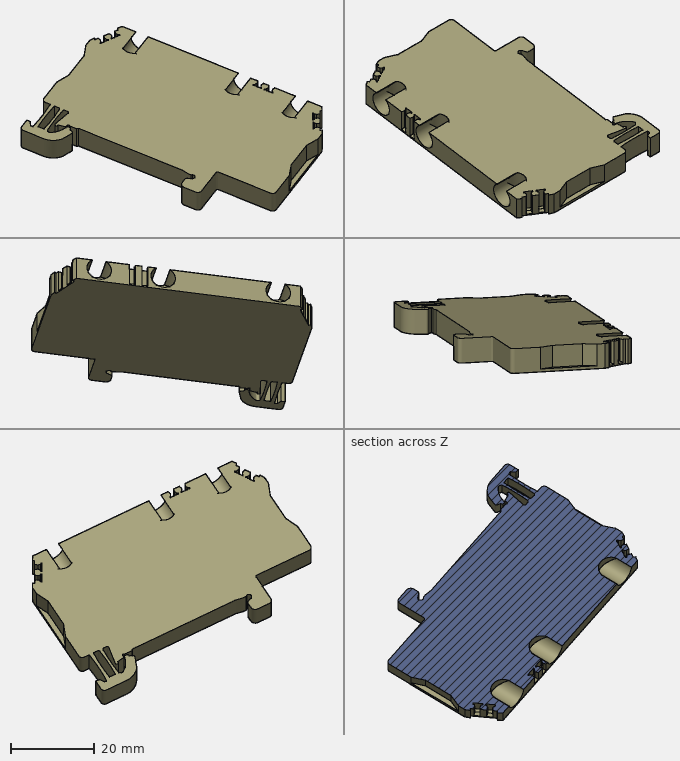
import cadquery as cq
import math


length = 64.25
width = 42.3
thickness = 6.1
housing_bottom = 10.85
housing_corner_radius = 1.0

slope_angle = 60.0
slope_top = (4.25, 40.8)
slope_length = 6.45
top_corner_x = 4.55
lip_tip = (3.85, 41.25)
tooth_tip = (0.6, 35.55)
shoulder_y = 34.3

floor_thickness = 0.75
end_pocket_depth = 1.35
end_pocket_mouth = (18.2, 32.4)
end_pocket_floor = (21.6, 29.15)

slot_mouth_half = 0.77
slot_waist_half = 0.58
slot_flare_half = 0.8
slot_foot_half = 1.15
slot_waist_depth = 0.83
slot_flare_depth = 1.35
slot_foot_depth = 1.55
slot_depth = 1.75
slot_mouth_floor = 0.4
slot_pitch = 3.1
first_top_slot_x = 42.8
first_slope_slot = 1.75

bore_xs = (10.0, 38.35, 54.1)
bore_radius = 3.0
bore_axis_z = 3.6
bore_depth = 6.95

rail_face_y = 7.15
rail_ledge_y = 6.8
left_ramp = (11.85, 12.25)
right_ramp = (40.8, 42.7)
foot_right = 48.4
foot_left = 42.95
foot_bottom = 2.3
foot_outer_radius = 1.0
foot_inner_radius = 1.25
foot_root_radius = 0.35
foot_tip_start = (foot_left, 4.8)
foot_tip_middle = (43.05, 5.15)
foot_tip_end = (43.4, 5.4)
groove_start = (44.5, 5.9)
groove_middle = (44.65, 6.7)
groove_end = (43.85, 7.05)
groove_lip_x = 43.5

relief_left = 9.35
relief_right = 9.9
relief_crown = (9.6, 7.0)
nose_right_corner = (relief_left, 6.1)
nose_right = (7.35, 5.75)
nose_tip = (6.95, 5.2)
nose_left = (6.6, 5.6)
nose_root_x = 7.6

clip_corner_radius = 0.95
sole_floor = 2.9
sole_right = 6.8
release_notch_floor = 2.3
release_lip_top = 3.5
release_lip_right = 1.0
release_notch_left = 1.7
hook_outer_middle = (9.15, 0.75)
hook_outer_end = (10.65, 2.25)
hook_shoulder_start = (11.65, 4.9)
hook_shoulder_middle = (11.65, 5.2)
hook_shoulder_end = (11.4, 5.45)
hook_step = (10.6, 5.85)
hook_tip_right = 10.45
hook_tip_left = 9.5
hook_tip_top = 6.4
hook_inner_start = (9.45, 6.0)
hook_inner_middle = (8.6, 4.1)
hook_inner_end = (7.1, 2.65)
hook_valley_middle = (6.75, 2.5)
hook_valley_end = (6.4, 2.65)

left_leg = (2.35, 3.5)
right_leg = (5.05, 6.05)
leg_waist_inset = 0.18
leg_overlap = 0.2
leg_root_radius = 0.4


def extrude(outline, bottom=0.0):
    """Extrude a closed XY outline from height `bottom` to the top face."""
    return outline.extrude(thickness - bottom).translate((0, 0, bottom))


def mirror_x(points):
    """Mirror points across the housing's centre line and reverse their order."""
    return [(length - x, y) for x, y in reversed(points)]


def on_slope(distance):
    """Point on the left slope at a distance below its top."""
    angle = math.radians(slope_angle)
    return (
        slope_top[0] - distance * math.cos(angle),
        slope_top[1] - distance * math.sin(angle),
    )


def make_housing():
    left_side = [
        (0, housing_bottom),
        (0, shoulder_y),
        tooth_tip,
        on_slope(slope_length),
        slope_top,
        lip_tip,
        (top_corner_x, width),
    ]
    housing = extrude(cq.Workplane("XY").polyline(left_side + mirror_x(left_side)).close())
    return housing.faces("<Y").edges("|Z").fillet(housing_corner_radius)


def make_rail_seat():
    """Block that rests on the rail, with the fixed foot at its right end."""
    outline = (
        cq.Workplane("XY")
        .moveTo(foot_right + foot_root_radius, housing_bottom)
        .radiusArc((foot_right, housing_bottom - foot_root_radius), -foot_root_radius)
        .lineTo(foot_right, foot_bottom + foot_outer_radius)
        .radiusArc((foot_right - foot_outer_radius, foot_bottom), foot_outer_radius)
        .lineTo(foot_left + foot_inner_radius, foot_bottom)
        .radiusArc((foot_left, foot_bottom + foot_inner_radius), foot_inner_radius)
        .lineTo(*foot_tip_start)
        .threePointArc(foot_tip_middle, foot_tip_end)
        .lineTo(*groove_start)
        .threePointArc(groove_middle, groove_end)
        .lineTo(groove_lip_x, rail_ledge_y)
        .lineTo(right_ramp[1], rail_ledge_y)
        .lineTo(right_ramp[0], rail_face_y)
        .lineTo(left_ramp[1], rail_face_y)
        .lineTo(left_ramp[0], rail_ledge_y)
        .lineTo(relief_right, rail_ledge_y)
        .threePointArc(relief_crown, (relief_left, rail_ledge_y))
        .lineTo(*nose_right_corner)
        .lineTo(*nose_right)
        .threePointArc(nose_tip, nose_left)
        .lineTo(nose_root_x, housing_bottom)
        .close()
    )
    return extrude(outline)


def make_clip_sole():
    """Bottom of the spring clip with the hook that grips the rail."""
    outline = (
        cq.Workplane("XY")
        .moveTo(clip_corner_radius, 0)
        .lineTo(sole_right, 0)
        .threePointArc(hook_outer_middle, hook_outer_end)
        .lineTo(*hook_shoulder_start)
        .threePointArc(hook_shoulder_middle, hook_shoulder_end)
        .lineTo(*hook_step)
        .lineTo(hook_tip_right, hook_tip_top)
        .lineTo(hook_tip_left, hook_tip_top)
        .lineTo(*hook_inner_start)
        .threePointArc(hook_inner_middle, hook_inner_end)
        .threePointArc(hook_valley_middle, hook_valley_end)
        .lineTo(right_leg[1], sole_floor)
        .lineTo(left_leg[1], sole_floor)
        .lineTo(left_leg[0], release_notch_floor)
        .lineTo(release_notch_left, release_notch_floor)
        .lineTo(release_lip_right, release_lip_top)
        .lineTo(0, release_lip_top)
        .lineTo(0, clip_corner_radius)
        .radiusArc((clip_corner_radius, 0), -clip_corner_radius)
        .close()
    )
    return extrude(outline)


def make_spring_leg(sides, bottom):
    """Leg joining housing and clip sole, slimmer at mid-height."""
    left, right = sides
    middle = (housing_bottom + bottom) / 2
    outline = (
        cq.Workplane("XY")
        .moveTo(left, bottom)
        .lineTo(right, bottom)
        .threePointArc((right - leg_waist_inset, middle), (right, housing_bottom))
        .lineTo(left, housing_bottom)
        .threePointArc((left + leg_waist_inset, middle), (left, bottom))
        .close()
    )
    return extrude(outline)


def make_end_pocket():
    mouth_low, mouth_high = end_pocket_mouth
    floor_low, floor_high = end_pocket_floor
    outline = cq.Workplane("XY").polyline([
        (0, mouth_low),
        (end_pocket_depth, floor_low),
        (end_pocket_depth, floor_high),
        (0, mouth_high),
    ])
    return extrude(outline.close(), floor_thickness)


def make_label_slot():
    """Waisted slot cutter: mouth centred on the origin, running towards -Y."""
    right_side = [
        (slot_mouth_half, 0),
        (slot_waist_half, -slot_waist_depth),
        (slot_flare_half, -slot_flare_depth),
        (slot_foot_half, -slot_foot_depth),
        (slot_foot_half, -slot_depth),
    ]
    left_side = [(-x, y) for x, y in reversed(right_side)]
    prism = cq.Workplane("XY").polyline(right_side + left_side).close().extrude(thickness)
    floor_profile = cq.Workplane("YZ").polyline([
        (0, slot_mouth_floor),
        (-slot_waist_depth, floor_thickness),
        (-slot_depth, floor_thickness),
        (-slot_depth, thickness),
        (0, thickness),
    ])
    return prism.intersect(floor_profile.close().extrude(slot_foot_half, both=True))


def make_wire_bore(x):
    """Bore entering from the +Y face, its end rounded about a Z axis."""
    end_centre_y = width - bore_depth + bore_radius
    bore = cq.Workplane("XZ", origin=(x, width, bore_axis_z)).circle(bore_radius).extrude(bore_depth)
    plan = (
        cq.Workplane("XY")
        .moveTo(x - bore_radius, width)
        .lineTo(x - bore_radius, end_centre_y)
        .threePointArc((x, width - bore_depth), (x + bore_radius, end_centre_y))
        .lineTo(x + bore_radius, width)
        .close()
        .extrude(bore_axis_z + bore_radius)
    )
    return bore.intersect(plan)


def mirrored(cutter):
    return cutter.mirror("YZ", (length / 2, 0, 0))


result = (
    make_housing()
    .union(make_rail_seat())
    .union(make_clip_sole())
    .union(make_spring_leg(left_leg, release_notch_floor))
    .union(make_spring_leg(right_leg, sole_floor - leg_overlap))
)

for root_x in (*right_leg, nose_root_x):
    root_edge = cq.selectors.NearestToPointSelector((root_x, housing_bottom, thickness / 2))
    result = result.edges(root_edge).fillet(leg_root_radius)

end_pocket = make_end_pocket()
result = result.cut(end_pocket).cut(mirrored(end_pocket))

label_slot = make_label_slot()
for index in range(2):
    offset = index * slot_pitch
    result = result.cut(label_slot.translate((first_top_slot_x + offset, width, 0)))
    slope_x, slope_y = on_slope(first_slope_slot + offset)
    slope_slot = label_slot.rotate((0, 0, 0), (0, 0, 1), slope_angle).translate((slope_x, slope_y, 0))
    result = result.cut(slope_slot).cut(mirrored(slope_slot))

for bore_x in bore_xs:
    result = result.cut(make_wire_bore(bore_x))